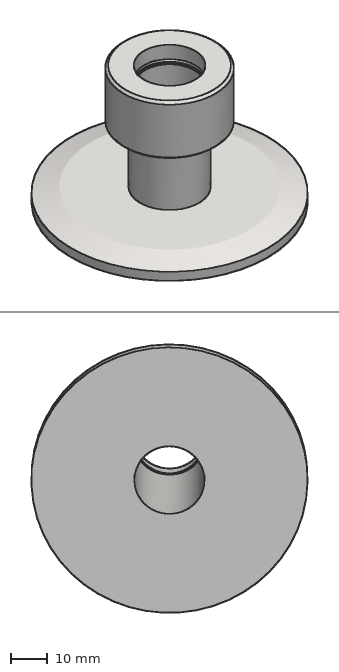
import cadquery as cq
import math

total_height = 45.2
flange_diameter = 75.0
flange_top_diameter = 59.85
flange_rim_height = 3.1
flange_taper_angle = 15.0
flange_taper_width = (flange_diameter - flange_top_diameter) / 2
flange_height = flange_rim_height + flange_taper_width * math.tan(math.radians(flange_taper_angle))

stem_diameter = 22.35
collar_diameter = 34.95
collar_height = 19.1
collar_chamfer = 0.8

bore_diameter = 19.05
entry_diameter = 19.4
entry_depth = 4.8
groove_diameter = 22.2
seal_rise = 0.3
seal_lip_depth = 5.5
relief_top_depth = 5.85
relief_height = 0.5


def cylinder(diameter, bottom, height):
    return cq.Workplane("XY").workplane(offset=bottom).circle(diameter / 2).extrude(height)


def make_flange():
    """Disc with a vertical rim and a tapered upper edge."""
    return (
        cq.Workplane("XZ")
        .lineTo(flange_diameter / 2, 0)
        .lineTo(flange_diameter / 2, flange_rim_height)
        .lineTo(flange_top_diameter / 2, flange_height)
        .lineTo(0, flange_height)
        .close()
        .revolve(360, (0, 0), (0, 1))
    )


def make_collar():
    collar = cylinder(collar_diameter, total_height - collar_height, collar_height)
    return collar.edges("%CIRCLE").chamfer(collar_chamfer)


def make_seal_groove():
    """Ring groove below the entry bore, with a floor sloping down away from the axis."""
    top = total_height - entry_depth
    lip = total_height - seal_lip_depth
    return (
        cq.Workplane("XZ")
        .moveTo(0, top)
        .lineTo(groove_diameter / 2, top)
        .lineTo(groove_diameter / 2, lip - seal_rise)
        .lineTo(bore_diameter / 2, lip)
        .lineTo(0, lip)
        .close()
        .revolve(360, (0, 0), (0, 1))
    )


stem = cylinder(stem_diameter, 0, total_height - collar_height)
bore = cylinder(bore_diameter, 0, total_height)
entry = cylinder(entry_diameter, total_height - entry_depth, entry_depth)
relief = cylinder(entry_diameter, total_height - relief_top_depth - relief_height, relief_height)

result = make_flange().union(stem).union(make_collar())
result = result.cut(bore).cut(entry).cut(make_seal_groove()).cut(relief)